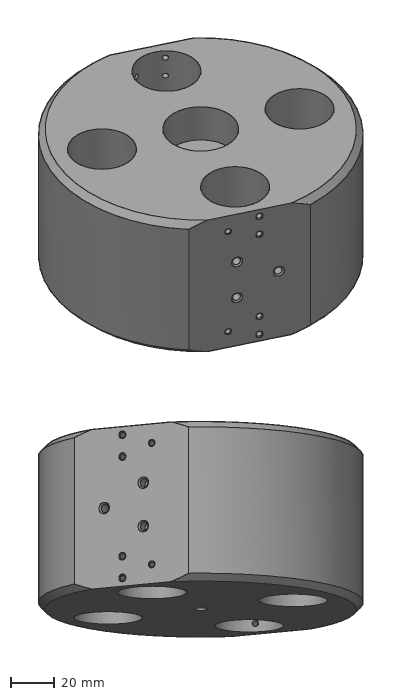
import cadquery as cq

body_diameter = 150.0
body_height = 75.0
rim_chamfer = 3.2
width_over_flats = 137.7
half_height = body_height / 2
flat_x = width_over_flats / 2

bore_diameter = 31.8
bore_circle_radius = 48.3
bore_count = 4

counterbore_diameter = 35.0
counterbore_depth = 18.9
center_hole_diameter = 6.3

cross_hole_depth = flat_x - bore_circle_radius

screw_hole_diameter = 3.9
screw_countersink_diameter = 5.4
screw_spacing = 20.4
single_screw_y = 14.2
screw_pair_y = single_screw_y - screw_spacing
screw_positions = [
    (single_screw_y, 0),
    (screw_pair_y, screw_spacing / 2),
    (screw_pair_y, -screw_spacing / 2),
]

port_hole_diameter = 2.7
port_countersink_diameter = 3.6
port_y = 4.8
port_pair_spacing = 10.2
port_pair_center_z = 28.5
port_positions = [
    (port_y, end * port_pair_center_z + side * port_pair_spacing / 2)
    for end in (-1, 1)
    for side in (-1, 1)
]

pin_hole_diameter = 2.5
pin_countersink_diameter = 3.3
pin_y = -10.5
pin_positions = [(pin_y, end * port_pair_center_z) for end in (-1, 1)]


def make_body():
    """Chamfered disc centered on the origin, cut down to the two flats."""
    disc = cq.Workplane("XY").circle(body_diameter / 2).extrude(half_height, both=True)
    disc = disc.faces("|Z").chamfer(rim_chamfer)
    flats_limit = cq.Workplane("XY").box(width_over_flats, body_diameter, body_height)
    return disc.intersect(flats_limit)


def cut_bores(body):
    """Through bores, then the central counterbored hole from the top."""
    top = cq.Workplane("XY", origin=(0, 0, half_height))
    bores = (
        top.polarArray(bore_circle_radius, 0, 360, bore_count)
        .circle(bore_diameter / 2)
        .extrude(-body_height)
    )
    center_hole = top.circle(center_hole_diameter / 2).extrude(-body_height)
    counterbore = top.circle(counterbore_diameter / 2).extrude(-counterbore_depth)
    return body.cut(bores).cut(center_hole).cut(counterbore)


def cut_cross_holes(body, positions, hole_diameter, countersink_diameter):
    """Holes with 45 degree countersinks at the given (Y, Z) positions on both flats."""
    hole_radius = hole_diameter / 2
    mouth_radius = countersink_diameter / 2
    countersink_depth = mouth_radius - hole_radius
    for y, z in positions:
        for side in (-1, 1):
            mouth = cq.Vector(side * flat_x, y, z)
            inward = cq.Vector(-side, 0, 0)
            hole = cq.Solid.makeCylinder(hole_radius, cross_hole_depth, mouth, inward)
            countersink = cq.Solid.makeCone(mouth_radius, hole_radius, countersink_depth, mouth, inward)
            body = body.cut(cq.Workplane(hole)).cut(cq.Workplane(countersink))
    return body


result = cut_bores(make_body())
result = cut_cross_holes(result, screw_positions, screw_hole_diameter, screw_countersink_diameter)
result = cut_cross_holes(result, port_positions, port_hole_diameter, port_countersink_diameter)
result = cut_cross_holes(result, pin_positions, pin_hole_diameter, pin_countersink_diameter)